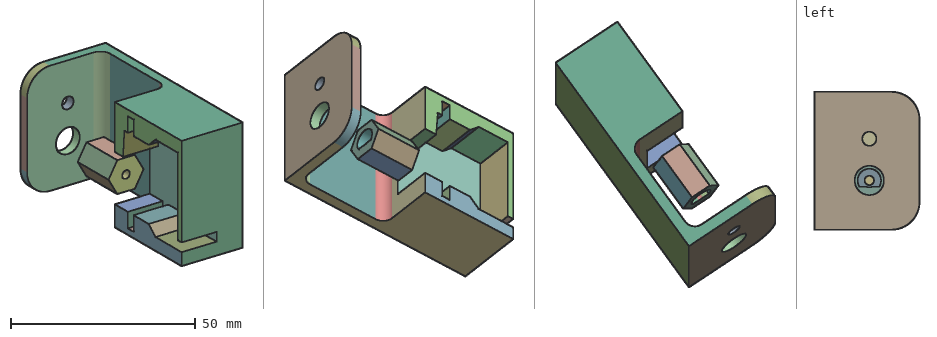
import cadquery as cq
import math

length = 63.5
depth = 28.6
height = 37.45
wall = 3.2
inner_radius = 3.2
tab_corner_radius = 7.6

block_left = 32.5
block_depth = 20.45
block_front = depth - block_depth
pocket_depth = 11.7

lower_jaw_top = 6.9
upper_jaw_bottom = height - lower_jaw_top
catch_bottom = 22.55
catch_tip = 36.4
catch_root = 36.95
slot_left = 38.55
slot_right = 41.2
slot_margin = 2.0
ramp_start = 48.25
ramp_end = 51.4
recess_margin = 4.2
end_wall = 1.9
end_wall_bottom = 7.1

axis_y = depth - 14.9
shaft_z = 13.4
shaft_hole_diameter = 7.95
pin_z = 24.7
pin_hole_diameter = 3.8

coupler_left = 15.8
coupler_length = 14.3
coupler_across_flats = 10.15
d_bore_diameter = 6.35
d_flat_offset = 1.8
relief_diameter = 3.8
d_bore_depth = 10.15
through_bore_diameter = 2.55


def x_cylinder(diameter, cylinder_length, x, z):
    """Cylinder along +X, starting at x, centred on the hole line at height z."""
    return (
        cq.Workplane("YZ", origin=(x, axis_y, z))
        .circle(diameter / 2)
        .extrude(cylinder_length)
    )


def make_frame():
    """Tab, back wall and solid clip block, with rounded inner corners."""
    frame = (
        cq.Workplane("XY")
        .polyline([
            (0, 0),
            (wall, 0),
            (wall, depth - wall),
            (block_left, depth - wall),
            (block_left, block_front),
            (length, block_front),
            (length, depth),
            (0, depth),
        ])
        .close()
        .extrude(height)
    )
    inner_corners = (
        cq.selectors.NearestToPointSelector((wall, depth - wall, height / 2))
        + cq.selectors.NearestToPointSelector((block_left, depth - wall, height / 2))
    )
    frame = frame.edges("|Z").edges(inner_corners).fillet(inner_radius)
    return frame.faces("<Y").edges("|X").fillet(tab_corner_radius)


def make_clip_pocket():
    """Pocket open to the front, to the left, and through the gap under the end wall."""
    end_wall_inside = length - end_wall
    outline = [
        (block_left, lower_jaw_top),
        (slot_left, lower_jaw_top),
        (slot_left, slot_margin),
        (slot_right, slot_margin),
        (slot_right, lower_jaw_top),
        (ramp_start, lower_jaw_top),
        (ramp_end, recess_margin),
        (length, recess_margin),
        (length, end_wall_bottom),
        (end_wall_inside, end_wall_bottom),
        (end_wall_inside, height - recess_margin),
        (ramp_end, height - recess_margin),
        (ramp_start, upper_jaw_bottom),
        (slot_right, upper_jaw_bottom),
        (slot_right, height - slot_margin),
        (slot_left, height - slot_margin),
        (slot_left, upper_jaw_bottom),
        (catch_root, upper_jaw_bottom),
        (catch_tip, catch_bottom),
        (block_left, catch_bottom),
    ]
    return (
        cq.Workplane("XZ", origin=(0, block_front, 0))
        .polyline(outline)
        .close()
        .extrude(-pocket_depth)
    )


def make_bracket():
    """Frame with the clip pocket and the two tab holes removed."""
    return (
        make_frame()
        .cut(make_clip_pocket())
        .cut(x_cylinder(shaft_hole_diameter, wall, 0, shaft_z))
        .cut(x_cylinder(pin_hole_diameter, wall, 0, pin_z))
    )


def make_d_bore():
    """Blind D-shaped bore with a round relief that breaks through its flat."""
    below_flat = (
        cq.Workplane("YZ", origin=(coupler_left, axis_y, shaft_z - d_flat_offset - d_bore_diameter / 2))
        .rect(d_bore_diameter, d_bore_diameter)
        .extrude(d_bore_depth)
    )
    d_shape = x_cylinder(d_bore_diameter, d_bore_depth, coupler_left, shaft_z).cut(below_flat)
    return d_shape.union(x_cylinder(relief_diameter, d_bore_depth, coupler_left, shaft_z))


def make_coupler():
    """Hexagonal coupler with flats on top and bottom and a stepped bore."""
    across_corners = coupler_across_flats / math.cos(math.pi / 6)
    return (
        cq.Workplane("YZ", origin=(coupler_left, axis_y, shaft_z))
        .polygon(6, across_corners)
        .extrude(coupler_length)
        .cut(make_d_bore())
        .cut(x_cylinder(through_bore_diameter, coupler_length, coupler_left, shaft_z))
    )


bracket = make_bracket()
coupler = make_coupler()
result = cq.Compound.makeCompound([bracket.val(), coupler.val()])